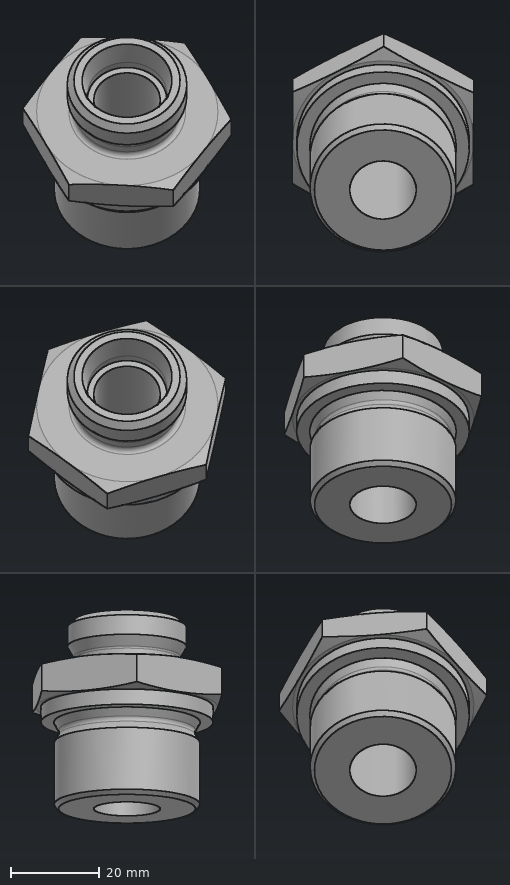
import cadquery as cq
import math

groove_z = 17.6
flange_z = 20.0
hex_bottom_z = 23.5
hex_top_z = 31.5
collar_z = 37.5
total_height = 43.5

stud_diameter = 33.0
stud_chamfer = 1.0
flange_diameter = 39.0

groove_half_width = 2.3
groove_root_radius = 1.2
flank_angle = math.radians(30)

hex_across_flats = 41.0
hex_chamfer_angle = math.radians(15)

neck_diameter = 24.0
neck_base_fillet = 1.2
neck_top_fillet = 1.0
collar_diameter = 27.0
collar_chamfer = 1.5

bore_diameter = 15.0
seat_diameter = 18.0
seat_depth = 7.5
mouth_diameter = 20.3
cone_half_angle = math.radians(12)


def revolve_about_z(profile):
    """Revolve a closed (radius, height) profile a full turn about the Z axis."""
    return profile.close().revolve(360, (0, 0, 0), (0, 1, 0))


def make_lower_stud():
    """Stud with end chamfer, relief groove and flange, up to the hexagon."""
    stud_radius = stud_diameter / 2
    flange_radius = flange_diameter / 2
    slope = math.tan(flank_angle)
    vertex_radius = stud_radius - groove_half_width * slope
    root_half_height = groove_root_radius * math.sin(flank_angle)
    arc_center_radius = vertex_radius + groove_root_radius / math.cos(flank_angle)
    arc_end_radius = arc_center_radius - groove_root_radius * math.cos(flank_angle)
    arc_bottom_radius = arc_center_radius - groove_root_radius
    upper_flank_radius = vertex_radius + (flange_z - groove_z) * slope
    profile = (
        cq.Workplane("XZ")
        .moveTo(0, 0)
        .lineTo(stud_radius - stud_chamfer, 0)
        .lineTo(stud_radius, stud_chamfer)
        .lineTo(stud_radius, groove_z - groove_half_width)
        .lineTo(arc_end_radius, groove_z - root_half_height)
        .threePointArc((arc_bottom_radius, groove_z), (arc_end_radius, groove_z + root_half_height))
        .lineTo(upper_flank_radius, flange_z)
        .lineTo(flange_radius, flange_z)
        .lineTo(flange_radius, hex_bottom_z)
        .lineTo(0, hex_bottom_z)
    )
    return revolve_about_z(profile)


def make_hexagon():
    """Hexagonal prism with flats facing X, its corners turned to a shallow cone at both ends."""
    height = hex_top_z - hex_bottom_z
    flat_radius = hex_across_flats / 2
    corner_radius = flat_radius / math.cos(math.radians(30))
    corner_drop = (corner_radius - flat_radius) * math.tan(hex_chamfer_angle)
    prism = (
        cq.Workplane("XY")
        .workplane(offset=hex_bottom_z)
        .transformed(rotate=(0, 0, 90))
        .polygon(6, 2 * corner_radius)
        .extrude(height)
    )
    turned_blank = revolve_about_z(
        cq.Workplane("XZ")
        .moveTo(0, hex_bottom_z)
        .lineTo(flat_radius, hex_bottom_z)
        .lineTo(corner_radius, hex_bottom_z + corner_drop)
        .lineTo(corner_radius, hex_top_z - corner_drop)
        .lineTo(flat_radius, hex_top_z)
        .lineTo(0, hex_top_z)
    )
    return prism.intersect(turned_blank)


def make_upper_neck():
    """Neck filleted into the hexagon and flaring through a cone into the chamfered collar."""
    neck_radius = neck_diameter / 2
    collar_radius = collar_diameter / 2
    cone_start_z = collar_z - (collar_radius - neck_radius) / math.tan(flank_angle)
    base_arc_inset = neck_base_fillet * (1 - math.sqrt(0.5))
    tangent_length = neck_top_fillet * math.tan(flank_angle / 2)
    top_arc_start_z = cone_start_z - tangent_length
    top_arc_mid = (
        neck_radius + neck_top_fillet * (1 - math.cos(flank_angle / 2)),
        top_arc_start_z + neck_top_fillet * math.sin(flank_angle / 2),
    )
    top_arc_end = (
        neck_radius + tangent_length * math.sin(flank_angle),
        cone_start_z + tangent_length * math.cos(flank_angle),
    )
    profile = (
        cq.Workplane("XZ")
        .moveTo(0, hex_top_z)
        .lineTo(neck_radius + neck_base_fillet, hex_top_z)
        .threePointArc(
            (neck_radius + base_arc_inset, hex_top_z + base_arc_inset),
            (neck_radius, hex_top_z + neck_base_fillet),
        )
        .lineTo(neck_radius, top_arc_start_z)
        .threePointArc(top_arc_mid, top_arc_end)
        .lineTo(collar_radius, collar_z)
        .lineTo(collar_radius, total_height - collar_chamfer)
        .lineTo(collar_radius - collar_chamfer, total_height)
        .lineTo(0, total_height)
    )
    return revolve_about_z(profile)


def make_bore():
    """Through bore, seat counterbore and opening cone, as one cutting body."""
    bore_radius = bore_diameter / 2
    seat_radius = seat_diameter / 2
    mouth_radius = mouth_diameter / 2
    cone_depth = (mouth_radius - seat_radius) / math.tan(cone_half_angle)
    seat_z = total_height - seat_depth
    profile = (
        cq.Workplane("XZ")
        .moveTo(0, 0)
        .lineTo(bore_radius, 0)
        .lineTo(bore_radius, seat_z)
        .lineTo(seat_radius, seat_z)
        .lineTo(seat_radius, total_height - cone_depth)
        .lineTo(mouth_radius, total_height)
        .lineTo(0, total_height)
    )
    return revolve_about_z(profile)


body = make_lower_stud().union(make_hexagon()).union(make_upper_neck())
result = body.cut(make_bore())